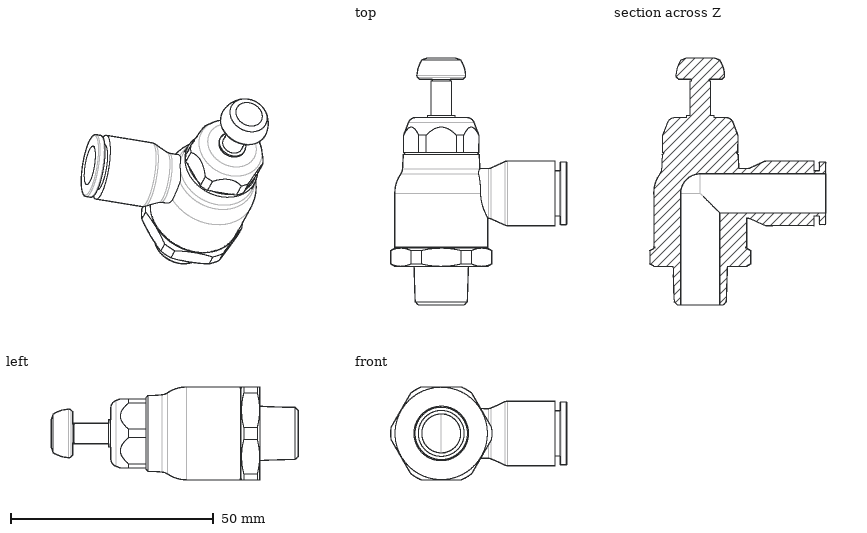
import cadquery as cq
import math


thread_length = 9.5
gauge_distance = 5.0
gauge_radius = 6.58
taper_slope = 1 / 32
thread_chamfer = 0.8

hex_flats = 23.0
hex_corner_radius = 12.5
hex_height = 4.6
hex_face_radius = 11.4
hex_chamfer_angle = 30.0

body_radius = 11.5
body_foot_radius = 11.2
body_bottom = 4.8
shoulder_start = 18.05
shoulder_arc_radius = 8.4
collar_end = 28.1
collar_base_radius = 9.61
collar_top_radius = 9.37
shoulder_blend = 2.5
collar_chamfer = 0.5

nut_flats = 17.1
nut_corner_radius = 9.32
nut_cone_start = 32.4
nut_top = 36.8
nut_cone_angle = 21.0
nut_top_fillet = 2.0

stem_collar_radius = 3.4
stem_collar_top = 37.3
stem_radius = 2.55
stem_neck_radius = 2.25
stem_neck_start = 45.8
knob_bottom = 46.15
knob_top = 51.5
knob_radius = 6.05
knob_arc_radius = 7.4
knob_rim_chamfer = 0.7
knob_rim_fillet = 0.7
knob_side_start = knob_bottom + knob_rim_chamfer
knob_side_end = 51.0
knob_face_radius = 3.4

branch_y = shoulder_start
branch_neck_radius = 6.15
branch_cone_start = 11.95
branch_cone_end = 16.0
socket_radius = 8.0
socket_end = 28.1
branch_blend = 1.5
release_neck_radius = 5.6
release_radius = 7.77
release_start = 29.3
release_end = 31.0
release_fillet = 0.3

bore_radius = 4.8

pick_margin = 0.05
pick_reach = 60.0


def spin(outline):
    """Revolve a closed (radius, y) outline about the main axis."""
    return outline.close().revolve(360, (0, 0, 0), (0, 1, 0))


def rod(radius, start, end):
    """Cylinder on the main axis between two Y positions."""
    return cq.Workplane("XZ", origin=(0, start, 0)).circle(radius).extrude(start - end)


def hexagon(flats, start, end):
    """Hexagonal bar on the main axis with flats facing +Z and -Z."""
    across_corners = flats / math.cos(math.pi / 6)
    return cq.Workplane("XZ", origin=(0, start, 0)).polygon(6, across_corners).extrude(start - end)


def at_x(x):
    """Selector for edges centred at one X position."""
    return cq.selectors.BoxSelector(
        (x - pick_margin, -pick_reach, -pick_reach),
        (x + pick_margin, pick_reach, pick_reach),
    )


def at_y(y):
    """Selector for edges centred at one Y position."""
    return cq.selectors.BoxSelector(
        (-pick_reach, y - pick_margin, -pick_reach),
        (pick_reach, y + pick_margin, pick_reach),
    )


def make_thread():
    end_radius = gauge_radius - taper_slope * (thread_length - thread_chamfer - gauge_distance)
    root_radius = gauge_radius + taper_slope * gauge_distance
    outline = (
        cq.Workplane("XY")
        .moveTo(0, -thread_length)
        .lineTo(end_radius - thread_chamfer, -thread_length)
        .lineTo(end_radius, thread_chamfer - thread_length)
        .lineTo(root_radius, 0)
        .lineTo(0, 0)
    )
    return spin(outline)


def make_large_hex():
    chamfer_height = (hex_corner_radius - hex_face_radius) * math.tan(math.radians(hex_chamfer_angle))
    outline = (
        cq.Workplane("XY")
        .moveTo(0, 0)
        .lineTo(hex_face_radius, 0)
        .lineTo(hex_corner_radius, chamfer_height)
        .lineTo(hex_corner_radius, hex_height - chamfer_height)
        .lineTo(hex_face_radius, hex_height)
        .lineTo(0, hex_height)
    )
    return hexagon(hex_flats, 0, hex_height).intersect(spin(outline))


def shoulder_point(angle):
    """Point on the shoulder arc, measured up from its tangent point on the body."""
    radius = body_radius - shoulder_arc_radius * (1 - math.cos(angle))
    return radius, shoulder_start + shoulder_arc_radius * math.sin(angle)


def make_body():
    sweep = math.acos(1 - (body_radius - collar_base_radius) / shoulder_arc_radius)
    shoulder_end = shoulder_point(sweep)
    outline = (
        cq.Workplane("XY")
        .moveTo(0, hex_height)
        .lineTo(body_foot_radius, hex_height)
        .lineTo(body_foot_radius, body_bottom)
        .lineTo(body_radius, body_bottom)
        .lineTo(body_radius, shoulder_start)
        .threePointArc(shoulder_point(sweep / 2), shoulder_end)
        .lineTo(collar_top_radius, collar_end)
        .lineTo(0, collar_end)
    )
    body = spin(outline).faces(">Y").edges().chamfer(collar_chamfer)
    return body.edges(at_y(shoulder_end[1])).fillet(shoulder_blend)


def make_cap_nut():
    top_radius = nut_corner_radius - (nut_top - nut_cone_start) * math.tan(math.radians(nut_cone_angle))
    outline = (
        cq.Workplane("XY")
        .moveTo(0, collar_end)
        .lineTo(nut_corner_radius, collar_end)
        .lineTo(nut_corner_radius, nut_cone_start)
        .lineTo(top_radius, nut_top)
        .lineTo(0, nut_top)
    )
    envelope = spin(outline).faces(">Y").edges().fillet(nut_top_fillet)
    return hexagon(nut_flats, collar_end, nut_top).intersect(envelope)


def make_stem():
    collar = rod(stem_collar_radius, nut_top, stem_collar_top)
    shaft = rod(stem_radius, nut_top, stem_neck_start)
    neck = rod(stem_neck_radius, stem_neck_start, knob_bottom)
    return collar.union(shaft).union(neck)


def knob_side(y):
    """Radius of the rounded knob side at a Y position."""
    rise = y - knob_side_start
    return knob_radius - knob_arc_radius + math.sqrt(knob_arc_radius**2 - rise**2)


def make_knob():
    middle = (knob_side_start + knob_side_end) / 2
    outline = (
        cq.Workplane("XY")
        .moveTo(0, knob_bottom)
        .lineTo(knob_radius - knob_rim_chamfer, knob_bottom)
        .lineTo(knob_radius, knob_side_start)
        .threePointArc((knob_side(middle), middle), (knob_side(knob_side_end), knob_side_end))
        .lineTo(knob_face_radius, knob_top)
        .lineTo(0, knob_top)
    )
    return spin(outline).edges(at_y(knob_side_start)).fillet(knob_rim_fillet)


def make_branch():
    outline = (
        cq.Workplane("XY")
        .moveTo(0, branch_y)
        .lineTo(0, branch_y + branch_neck_radius)
        .lineTo(branch_cone_start, branch_y + branch_neck_radius)
        .lineTo(branch_cone_end, branch_y + socket_radius)
        .lineTo(socket_end, branch_y + socket_radius)
        .lineTo(socket_end, branch_y)
        .close()
    )
    socket = outline.revolve(360, (0, branch_y, 0), (1, branch_y, 0))
    for x in (branch_cone_start, branch_cone_end):
        socket = socket.edges(at_x(x)).fillet(branch_blend)
    end_plane = cq.Workplane("YZ", origin=(socket_end, branch_y, 0))
    neck = end_plane.circle(release_neck_radius).extrude(release_start - socket_end)
    flange = (
        cq.Workplane("YZ", origin=(release_start, branch_y, 0))
        .circle(release_radius)
        .extrude(release_end - release_start)
        .edges()
        .fillet(release_fillet)
    )
    return socket.union(neck).union(flange)


def make_flow_passage():
    """Inlet bore, spherical elbow and branch bore of one common radius."""
    inlet = rod(bore_radius, -thread_length, branch_y)
    elbow = cq.Workplane("XY", origin=(0, branch_y, 0)).sphere(bore_radius)
    outlet = cq.Workplane("YZ", origin=(0, branch_y, 0)).circle(bore_radius).extrude(release_end)
    return inlet.union(elbow).union(outlet)


solid = make_body()
for piece in (
    make_thread(),
    make_large_hex(),
    make_cap_nut(),
    make_stem(),
    make_knob(),
    make_branch(),
):
    solid = solid.union(piece)

result = solid.cut(make_flow_passage())